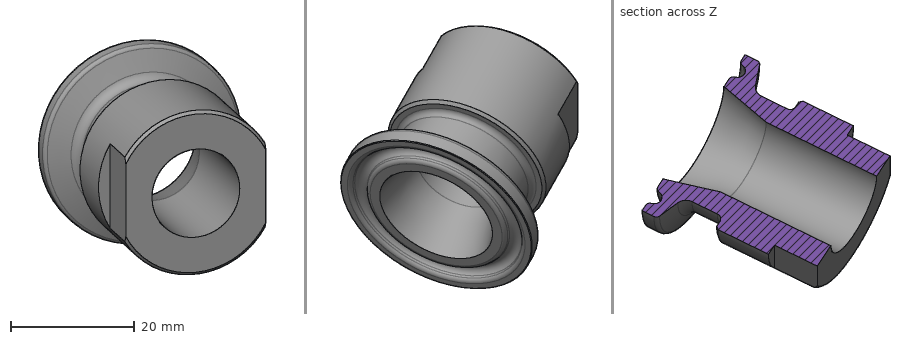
import cadquery as cq
import math

total_length = 30.0

flange_radius = 17.0
flange_edge_length = 2.85
flange_slope = math.radians(20)
flange_corner_fillet = 0.8
face_chamfer = 0.15

neck_radius = 11.5
neck_flange_fillet = 2.0
neck_body_fillet = 1.0
body_start = 12.0
body_radius = 14.0
body_chamfer = 0.5

flat_start = 22.0
flat_offset = 12.0

inlet_radius = 10.0
bore_radius = 7.5
inlet_length = 9.35

groove_radius = 13.75
groove_bottom_radius = 1.2
groove_rim_radius = 0.8
groove_wall_length = 0.4
groove_wall_angle = math.radians(70)


def sloped_corner(corner_x, corner_r, fillet):
    """Start, middle and end of a fillet between a cylinder and the flange slope."""
    turn = math.pi / 2 - flange_slope
    tangent = fillet * math.tan(turn / 2)
    side = 1 if corner_r == neck_radius else -1
    center_x = corner_x + side * tangent
    center_r = corner_r + side * fillet

    def on_arc(angle):
        return (
            center_x - side * fillet * math.sin(angle),
            center_r - side * fillet * math.cos(angle),
        )

    return on_arc(0), on_arc(turn / 2), on_arc(turn)


def make_outer_body():
    slope_end = flange_edge_length + (flange_radius - neck_radius) * math.tan(flange_slope)
    edge_start, edge_mid, edge_end = sloped_corner(
        flange_edge_length, flange_radius, flange_corner_fillet
    )
    neck_start, neck_mid, neck_end = sloped_corner(slope_end, neck_radius, neck_flange_fillet)
    profile = (
        cq.Workplane("XY")
        .moveTo(0, 0)
        .lineTo(0, flange_radius - face_chamfer)
        .lineTo(face_chamfer, flange_radius)
        .lineTo(*edge_start)
        .threePointArc(edge_mid, edge_end)
        .lineTo(*neck_end)
        .threePointArc(neck_mid, neck_start)
        .lineTo(body_start - neck_body_fillet, neck_radius)
        .radiusArc((body_start, neck_radius + neck_body_fillet), -neck_body_fillet)
        .lineTo(body_start, body_radius - body_chamfer)
        .lineTo(body_start + body_chamfer, body_radius)
        .lineTo(total_length - body_chamfer, body_radius)
        .lineTo(total_length, body_radius - body_chamfer)
        .lineTo(total_length, 0)
        .close()
    )
    return profile.revolve(360, (0, 0, 0), (1, 0, 0))


def make_bore():
    profile = cq.Workplane("XY").polyline(
        [
            (0, 0),
            (0, inlet_radius),
            (inlet_length, bore_radius),
            (total_length, bore_radius),
            (total_length, 0),
        ]
    )
    return profile.close().revolve(360, (0, 0, 0), (1, 0, 0))


def make_groove():
    arc_sum = groove_bottom_radius + groove_rim_radius
    wall_width = groove_wall_length * math.cos(groove_wall_angle)
    wall_depth = groove_wall_length * math.sin(groove_wall_angle)
    half_width = arc_sum * math.sin(groove_wall_angle) + wall_width
    depth = arc_sum * (1 - math.cos(groove_wall_angle)) + wall_depth

    def rim_point(angle, side):
        x = groove_rim_radius * (1 - math.cos(angle))
        offset = half_width - groove_rim_radius * math.sin(angle)
        return x, groove_radius + side * offset

    def wall_foot(side):
        x = depth - groove_bottom_radius * (1 - math.cos(groove_wall_angle))
        offset = groove_bottom_radius * math.sin(groove_wall_angle)
        return x, groove_radius + side * offset

    wall, half_wall = groove_wall_angle, groove_wall_angle / 2
    profile = (
        cq.Workplane("XY")
        .moveTo(*rim_point(0, 1))
        .threePointArc(rim_point(half_wall, 1), rim_point(wall, 1))
        .lineTo(*wall_foot(1))
        .threePointArc((depth, groove_radius), wall_foot(-1))
        .lineTo(*rim_point(wall, -1))
        .threePointArc(rim_point(half_wall, -1), rim_point(0, -1))
        .close()
    )
    return profile.revolve(360, (0, 0, 0), (1, 0, 0))


def make_flat_cutter(side):
    flat_length = total_length - flat_start
    cut_depth = body_radius - flat_offset
    return cq.Workplane("XY").box(flat_length, cut_depth, 2 * body_radius).translate(
        (flat_start + flat_length / 2, side * (flat_offset + cut_depth / 2), 0)
    )


result = make_outer_body().cut(make_bore()).cut(make_groove())
for side in (-1, 1):
    result = result.cut(make_flat_cutter(side))